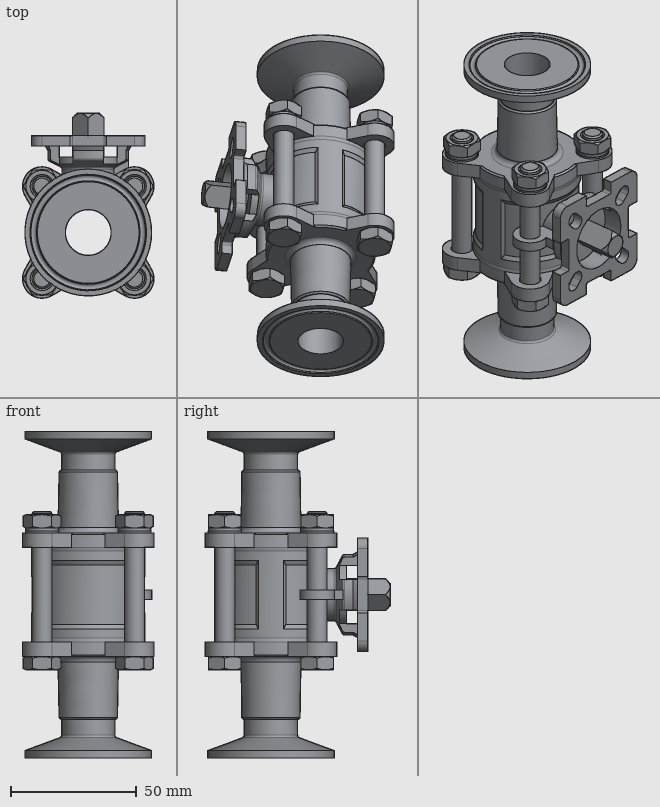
import cadquery as cq
import math


half_length = 65.0
bore_diameter = 18.1

ferrule_diameter = 50.5
ferrule_rim = 3.0
ferrule_neck_z = 56.6
ferrule_neck_fillet = 1.0
ferrule_groove_diameter = 43.4
ferrule_groove_half_width = 1.5
ferrule_groove_depth = 1.2
ferrule_groove_lip = 0.4
pipe_radius = 21.3 / 2

neck_end_z = 49.6
neck_end_chamfer = 0.7
neck_end_radius = 11.65
neck_base_radius = 12.1
neck_fillet = 2.2

cap_outer_z = 24.6
cap_inner_z = 18.8
cap_radius = 21.7
cap_edge_chamfer = 0.7
lobe_radius = 7.8
bolt_circle_diameter = 52.0
bolt_offset = bolt_circle_diameter / 2 * math.sqrt(0.5)
bolt_centres = [(x * bolt_offset, y * bolt_offset) for x in (-1, 1) for y in (-1, 1)]
lobe_side_angle = 15.0
bolt_hole_diameter = 8.6

bolt_diameter = 8.0
hex_across_flats = 13.0
hex_corner_radius = hex_across_flats / math.sqrt(3)
hex_chamfer_radius = 6.4
hex_chamfer_angle = 30.0
head_height = 5.3
nut_height = 5.4
washer_radius = 6.65
washer_thickness = 0.75
lock_washer_radius = 6.55
lock_washer_thickness = 1.15
bolt_tip_projection = 1.2
bolt_tip_radius = 3.3
bolt_tip_height = 0.7
nut_countersink = 0.7

body_radius = 21.45
body_ring_height = 1.5
pocket_floor_radius = 20.55
pocket_half_height = 13.6
pocket_floor_half_height = 11.9
rib_half_width = 5.0
rib_root_half_width = 5.9

ear_radius = 6.9
ear_thickness = 3.9
ear_stop_x = 16.1

collar_radius = 10.45
cup_base_y = 25.75
cup_corner_y = 28.7
cup_fillet = 1.0
cup_step_y = 27.2
cup_floor_y = 30.1
cup_outer_radius = 16.1
cup_inner_radius = 13.0
cup_flare = 0.9
cup_flare_height = 1.8
leg_half_width = 6.0
pad_back_y = 34.4
pad_front_y = 38.55
pad_half_width = 22.65
pad_corner_radius = 4.2
pad_notch_half_width = 7.35
pad_notch_fillet = 1.0
pad_notch_floor = 17.5
pad_slot_width = 5.5
pad_slot_inner_circle = 36.0
pad_slot_outer_circle = 42.0
stem_end_y = 47.5
stem_across_flats = 9.0
stem_tip_radius = 4.4


def revolve_about_z(points):
    """Full revolution of a closed (radius, z) outline about the Z axis."""
    outline = cq.Workplane("XZ").polyline(points).close()
    return outline.revolve(360, (0, 0, 0), (0, 1, 0))


def revolve_about_y(points):
    """Full revolution of a closed (radius, y) outline about the Y axis."""
    outline = cq.Workplane("XY").polyline(points).close()
    return outline.revolve(360, (0, 0, 0), (0, 1, 0))


def cylinder(radius, z_low, z_high):
    """Cylinder on the Z axis between two heights."""
    return cq.Workplane("XY", origin=(0, 0, z_low)).circle(radius).extrude(z_high - z_low)


def pad_plane(y):
    """Workplane parallel to the mounting pad that extrudes toward -Y."""
    return cq.Workplane("XZ", origin=(0, y, 0))


def make_ferrule_and_neck():
    """Upper clamp ferrule, pipe and tapered neck down to the cap flange."""
    ferrule_radius = ferrule_diameter / 2
    neck = revolve_about_z([
        (0, half_length),
        (ferrule_radius, half_length),
        (ferrule_radius, half_length - ferrule_rim),
        (pipe_radius, ferrule_neck_z),
        (pipe_radius, neck_end_z),
        (neck_end_radius - neck_end_chamfer, neck_end_z),
        (neck_end_radius, neck_end_z - neck_end_chamfer),
        (neck_base_radius, cap_outer_z),
        (0, cap_outer_z),
    ])
    neck_corner = cq.selectors.NearestToPointSelector((0, 0, ferrule_neck_z))
    neck = neck.edges(neck_corner).fillet(ferrule_neck_fillet)

    groove_radius = ferrule_groove_diameter / 2
    inner_edge = groove_radius - ferrule_groove_half_width
    outer_edge = groove_radius + ferrule_groove_half_width
    lip_z = half_length - ferrule_groove_lip
    groove = (
        cq.Workplane("XZ")
        .moveTo(inner_edge, half_length)
        .lineTo(inner_edge + ferrule_groove_lip, lip_z)
        .threePointArc(
            (groove_radius, half_length - ferrule_groove_depth),
            (outer_edge - ferrule_groove_lip, lip_z),
        )
        .lineTo(outer_edge, half_length)
        .close()
        .revolve(360, (0, 0, 0), (0, 1, 0))
    )
    return neck.cut(groove)


def make_neck_fillet():
    """Concave fillet ring where the neck meets the cap flange."""
    outer = neck_base_radius + neck_fillet
    sag = neck_fillet * (1 - math.sqrt(0.5))
    return (
        cq.Workplane("XZ")
        .moveTo(0, cap_outer_z)
        .lineTo(outer, cap_outer_z)
        .threePointArc(
            (neck_base_radius + sag, cap_outer_z + sag),
            (neck_base_radius, cap_outer_z + neck_fillet),
        )
        .lineTo(0, cap_outer_z + neck_fillet)
        .close()
        .revolve(360, (0, 0, 0), (0, 1, 0))
    )


def make_lobe(turn):
    """Bolt lobe on the diagonal at the given angle, widening toward the centre."""
    bolt_radius = bolt_circle_diameter / 2
    angle = math.radians(lobe_side_angle)
    tangent_x = bolt_radius + lobe_radius * math.sin(angle)
    tangent_y = lobe_radius * math.cos(angle)
    root_x = cap_radius * math.sqrt(0.5) + cap_edge_chamfer
    root_y = tangent_y + (tangent_x - root_x) * math.tan(angle)
    lobe = (
        cq.Workplane("XY", origin=(0, 0, cap_inner_z))
        .moveTo(0, 0)
        .lineTo(root_x, -root_y)
        .lineTo(tangent_x, -tangent_y)
        .threePointArc((bolt_radius + lobe_radius, 0), (tangent_x, tangent_y))
        .lineTo(root_x, root_y)
        .close()
        .extrude(cap_outer_z - cap_inner_z)
    )
    return lobe.rotate((0, 0, 0), (0, 0, 1), turn)


def make_cap():
    """Upper end cap: lobed flange, neck and ferrule."""
    flange = cylinder(cap_radius, cap_inner_z, cap_outer_z).faces(">Z").edges().chamfer(cap_edge_chamfer)
    for quarter in range(4):
        flange = flange.union(make_lobe(45 + 90 * quarter))
    hole = cylinder(bolt_hole_diameter / 2, cap_inner_z, cap_outer_z)
    for x, y in bolt_centres:
        flange = flange.cut(hole.translate((x, y, 0)))
    return flange.union(make_neck_fillet()).union(make_ferrule_and_neck())


def make_hex(z_low, height):
    """Hexagon with corners on X, its corners cut by a cone at both ends."""
    z_high = z_low + height
    drop = (hex_corner_radius - hex_chamfer_radius) * math.tan(math.radians(hex_chamfer_angle))
    hexagon = cq.Workplane("XY", origin=(0, 0, z_low)).polygon(6, 2 * hex_corner_radius).extrude(height)
    envelope = revolve_about_z([
        (0, z_low),
        (hex_chamfer_radius, z_low),
        (hex_corner_radius, z_low + drop),
        (hex_corner_radius, z_high - drop),
        (hex_chamfer_radius, z_high),
        (0, z_high),
    ])
    return hexagon.intersect(envelope)


def make_bolt_set():
    """Bolt, head, washers and nut on the Z axis, head at the bottom."""
    bolt_radius = bolt_diameter / 2
    washer_top = cap_outer_z + washer_thickness
    nut_bottom = washer_top + lock_washer_thickness
    nut_top = nut_bottom + nut_height
    tip_z = nut_top + bolt_tip_projection
    shank = revolve_about_z([
        (0, -cap_outer_z),
        (bolt_radius, -cap_outer_z),
        (bolt_radius, tip_z - bolt_tip_height),
        (bolt_tip_radius, tip_z),
        (0, tip_z),
    ])
    countersink = revolve_about_z([
        (0, nut_top),
        (bolt_radius + nut_countersink, nut_top),
        (bolt_radius, nut_top - nut_countersink),
        (0, nut_top - nut_countersink),
    ])
    head = make_hex(cap_outer_z, head_height).mirror("XY")
    washer = cylinder(washer_radius, cap_outer_z, washer_top)
    lock_washer = cylinder(lock_washer_radius, washer_top, nut_bottom)
    nut = make_hex(nut_bottom, nut_height).cut(countersink)
    return shank.union(head).union(washer).union(lock_washer).union(nut)


def make_body():
    """Body barrel with two pockets separated by ribs on the +X and -X sides."""
    ring_z = cap_inner_z - body_ring_height
    barrel = revolve_about_z([
        (0, cap_inner_z),
        (cap_radius, cap_inner_z),
        (body_radius, ring_z),
        (body_radius, -ring_z),
        (cap_radius, -cap_inner_z),
        (0, -cap_inner_z),
    ])
    pocket = revolve_about_z([
        (pocket_floor_radius, pocket_floor_half_height),
        (body_radius, pocket_half_height),
        (cap_radius, pocket_half_height),
        (cap_radius, -pocket_half_height),
        (body_radius, -pocket_half_height),
        (pocket_floor_radius, -pocket_floor_half_height),
    ])
    crown_x = math.sqrt(body_radius ** 2 - rib_half_width ** 2)
    root_x = math.sqrt(pocket_floor_radius ** 2 - rib_root_half_width ** 2)
    rib = (
        cq.Workplane("XY", origin=(0, 0, -pocket_half_height))
        .polyline([
            (0, -rib_root_half_width),
            (root_x, -rib_root_half_width),
            (crown_x, -rib_half_width),
            (cap_radius, -rib_half_width),
            (cap_radius, rib_half_width),
            (crown_x, rib_half_width),
            (root_x, rib_root_half_width),
            (0, rib_root_half_width),
        ])
        .close()
        .extrude(2 * pocket_half_height)
    )
    return barrel.cut(pocket.cut(rib).cut(rib.mirror("YZ")))


def make_ear():
    """Flat stop ear: a boss round the +X +Y bolt and a web reaching up to the cup."""
    base = cq.Workplane("XY", origin=(0, 0, -ear_thickness / 2))
    boss = base.center(bolt_offset, bolt_offset).circle(ear_radius).extrude(ear_thickness)
    stop = base.rect(ear_stop_x, cup_corner_y, centered=False).extrude(ear_thickness)
    return boss.union(stop)


def make_cup():
    """Collar and cup carrying the pad on four legs, open at the corners."""
    cup = revolve_about_y([
        (0, 0),
        (collar_radius, 0),
        (collar_radius, cup_base_y),
        (cup_outer_radius, cup_corner_y),
        (cup_outer_radius, pad_back_y - cup_flare_height),
        (cup_outer_radius + cup_flare, pad_back_y),
        (cup_inner_radius, pad_back_y),
        (cup_inner_radius, cup_floor_y),
        (0, cup_floor_y),
    ])
    for corner_y in (cup_base_y, cup_corner_y):
        corner = cq.selectors.NearestToPointSelector((0, corner_y, 0))
        cup = cup.edges(corner).fillet(cup_fillet)
    window_height = pad_back_y - cup_step_y
    windows = pad_plane(pad_back_y).circle(pad_half_width).circle(cup_inner_radius).extrude(window_height)
    long_side = 2 * pad_half_width
    legs = pad_plane(pad_back_y).rect(long_side, 2 * leg_half_width).extrude(window_height)
    legs = legs.union(pad_plane(pad_back_y).rect(2 * leg_half_width, long_side).extrude(window_height))
    return cup.cut(windows.cut(legs))


def make_pad():
    """Square mounting pad with side notches, diagonal slots and a central opening."""
    thickness = pad_front_y - pad_back_y
    side = 2 * pad_half_width
    pad = pad_plane(pad_front_y).rect(side, side).extrude(thickness)
    pad = pad.edges("|Y").fillet(pad_corner_radius)
    pad = pad.cut(pad_plane(pad_front_y).circle(cup_inner_radius).extrude(thickness))

    notch_depth = pad_half_width - pad_notch_floor
    notch = (
        pad_plane(pad_front_y)
        .center(pad_half_width, 0)
        .rect(2 * notch_depth, 2 * pad_notch_half_width)
        .extrude(thickness)
        .edges("|Y")
        .fillet(pad_notch_fillet)
    )
    slot_centre = (pad_slot_inner_circle + pad_slot_outer_circle) / 4
    slot_length = (pad_slot_outer_circle - pad_slot_inner_circle) / 2 + pad_slot_width
    slot = pad_plane(pad_front_y).center(slot_centre, 0).slot2D(slot_length, pad_slot_width).extrude(thickness)
    slot = slot.rotate((0, 0, 0), (0, 1, 0), 45)
    for quarter in range(4):
        pad = pad.cut(notch.union(slot).rotate((0, 0, 0), (0, 1, 0), 90 * quarter))
    return pad


def make_stem():
    """Square stem turned 45 degrees, its end corners cut by a cone."""
    corner_radius = stem_across_flats * math.sqrt(0.5)
    square = pad_plane(stem_end_y).rect(stem_across_flats, stem_across_flats).extrude(stem_end_y - cup_floor_y)
    square = square.rotate((0, 0, 0), (0, 1, 0), 45)
    envelope = revolve_about_y([
        (0, cup_floor_y),
        (corner_radius, cup_floor_y),
        (corner_radius, stem_end_y - (corner_radius - stem_tip_radius)),
        (stem_tip_radius, stem_end_y),
        (0, stem_end_y),
    ])
    return square.intersect(envelope)


cap = make_cap()
valve = make_body().union(cap).union(cap.mirror("XY"))
valve = valve.union(make_ear()).union(make_cup()).union(make_pad()).union(make_stem())
valve = valve.cut(cylinder(bore_diameter / 2, -half_length, half_length))
bolt_set = make_bolt_set()
for x, y in bolt_centres:
    valve = valve.union(bolt_set.translate((x, y, 0)))

result = valve